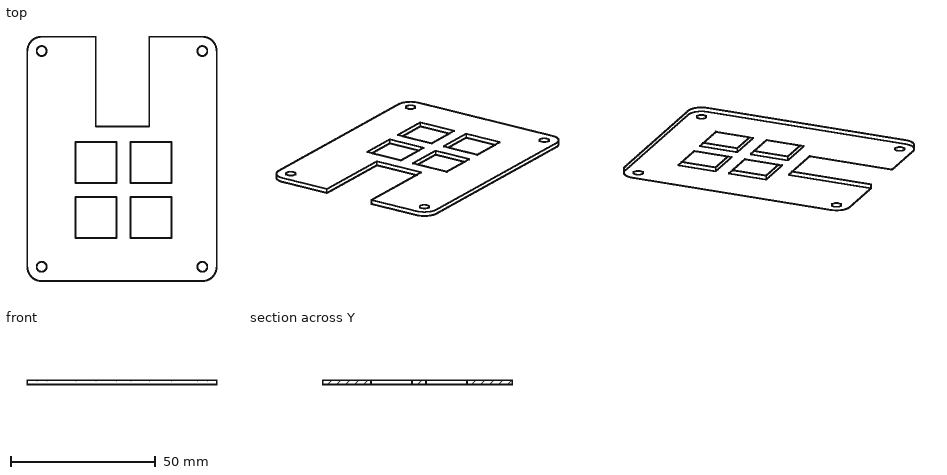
import cadquery as cq

plate_width = 65.5
plate_length = 84.5
plate_thickness = 1.5
corner_radius = 5.0

screw_hole_diameter = 3.4
screw_spacing_x = plate_width - 2 * corner_radius
screw_spacing_y = plate_length - 2 * corner_radius

notch_width = 18.4
notch_depth = 31.0
notch_center_x = 0.2

window_size = 14.0
window_pitch = 19.0
windows_per_side = 2
window_grid_x = 0.5
window_grid_y = -10.7


def make_plate():
    """Flat plate with rounded vertical corners."""
    plate = cq.Workplane("XY").rect(plate_width, plate_length).extrude(plate_thickness)
    return plate.edges("|Z").fillet(corner_radius)


def make_screw_holes():
    """Four cylinders, one in each corner."""
    corners = cq.Workplane("XY").rect(screw_spacing_x, screw_spacing_y, forConstruction=True).vertices()
    return corners.circle(screw_hole_diameter / 2).extrude(plate_thickness)


def make_notch():
    """Block that reaches inward from the +Y edge."""
    notch_center_y = plate_length / 2 - notch_depth / 2
    center = cq.Workplane("XY").center(notch_center_x, notch_center_y)
    return center.rect(notch_width, notch_depth).extrude(plate_thickness)


def make_windows():
    """Grid of square blocks."""
    grid = cq.Workplane("XY").center(window_grid_x, window_grid_y)
    grid = grid.rarray(window_pitch, window_pitch, windows_per_side, windows_per_side)
    return grid.rect(window_size, window_size).extrude(plate_thickness)


result = make_plate().cut(make_screw_holes()).cut(make_notch()).cut(make_windows())